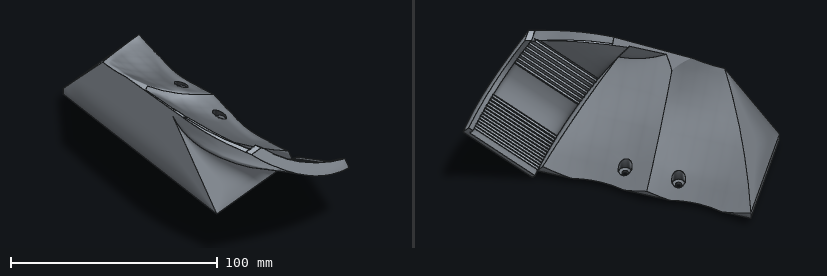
import cadquery as cq
import math


SLOPE = math.atan2(2, 3)
COS_SLOPE = math.cos(SLOPE)
SIN_SLOPE = math.sin(SLOPE)
TAN_SLOPE = math.tan(SLOPE)

MID_X = 52.35
BODY_DEPTH = 50.8
BODY_RIGHT_X = 107.6
TOP_Z = 51.04
CLEAR = 100.0

WALL_LOW_X = 41.7
WALL_LOW_Z = 48.0
WALL_HIGH_X = 83.3
WALL_TOP_FALL = 0.83

WALL_FACE_POINT = (58.0, 1.4, 47.5)
WALL_FACE_NORMAL = (-0.046, 1.0, 0.23)

BOWL_OFFSET_X = 24.6
BOWL_Y = 182.0
BOWL_Z = 191.8
BOWL_OUTER_RADIUS = 233.3
BOWL_TUBE_RADIUS = 89.0

HOLE_OFFSET_X = 13.45
HOLE_Y = 41.8
HOLE_DIAMETER = 3.05
COUNTERBORE_DIAMETER = 6.7
COUNTERBORE_FLOOR_Z = 2.0

ARM_BACK_Y = 53.93
ARM_CORNER_X = 108.93
ARM_CORNER_Z = -2.0
ARM_LENGTH = 42.12
ARM_HEIGHT = 75.0
ARM_OUTER_CURVE = [(ARM_BACK_Y, 0), (35.3, 6.6), (18.0, 21.7), (7.3, 35.8), (2.8, 45.0), (0, 57.9)]
RECESS_CENTER = (72.7, 70.8)
RECESS_RADIUS = 71.0
RECESS_FRONT_Y = 2.5
LIP_THICKNESS = 2.6
LIP_START = ARM_LENGTH - LIP_THICKNESS
LIP_CENTER = (76.2, 75.6)
LIP_RADIUS = 73.8

BACK_STEPS_START_Y = BODY_DEPTH
BACK_STEPS_END_Y = 33.3
BACK_STEP_COUNT = 13
FRONT_STEPS_START_Y = 19.6
FRONT_STEPS_END_Y = 10.1
FRONT_STEP_COUNT = 7

RIM_DROP = 2.5
RIM_END_X = 124.2
RIM_OUTER_MID = (107.6, 2.8)
RIM_OUTER_END_Y = 7.3
RIM_INNER_START_Y = 2.3
RIM_INNER_MID = (104.5, 5.9)
RIM_INNER_END_Y = 12.6


def right_end_x(z):
    """X of the right end plane at height z."""
    return BODY_RIGHT_X - z * TAN_SLOPE


def left_end_x(z):
    """X of the left end plane, the mirror image of the right one."""
    return 2 * MID_X - right_end_x(z)


def block_above(origin, x_dir, normal, x_range):
    """Large block standing on the plane, spanning x_range along its x direction."""
    low, high = x_range
    plane = cq.Plane(origin=origin, xDir=x_dir, normal=normal)
    return cq.Workplane(plane).center((low + high) / 2, 0).rect(high - low, 2 * CLEAR).extrude(CLEAR)


def make_bowl(side):
    """Cutting tool for one bowl, limited to its own side of the ridge."""
    center = cq.Vector(MID_X + side * BOWL_OFFSET_X, BOWL_Y, BOWL_Z)
    ring = cq.Solid.makeTorus(
        BOWL_OUTER_RADIUS - BOWL_TUBE_RADIUS, BOWL_TUBE_RADIUS, center, cq.Vector(1, 0, 0)
    )
    half = cq.Workplane("XY").box(CLEAR, 2 * CLEAR, 2 * CLEAR)
    half = half.translate((MID_X + side * CLEAR / 2, 0, 0))
    return half.intersect(cq.Workplane(ring))


def make_bowls():
    along_wall = (-WALL_FACE_NORMAL[1], WALL_FACE_NORMAL[0], 0)
    behind_wall = block_above(WALL_FACE_POINT, along_wall, WALL_FACE_NORMAL, (-CLEAR, CLEAR))
    return make_bowl(-1).union(make_bowl(1).intersect(behind_wall))


def make_holes():
    centers = [(MID_X + side * HOLE_OFFSET_X, HOLE_Y) for side in (-1, 1)]
    holes = cq.Workplane("XY").pushPoints(centers).circle(HOLE_DIAMETER / 2).extrude(TOP_Z)
    counterbores = (
        cq.Workplane("XY")
        .workplane(offset=COUNTERBORE_FLOOR_Z)
        .pushPoints(centers)
        .circle(COUNTERBORE_DIAMETER / 2)
        .extrude(TOP_Z)
    )
    return holes.union(counterbores)


def make_body():
    toe_height = -left_end_x(0) / TAN_SLOPE
    outline = [
        (0, 0),
        (BODY_RIGHT_X, 0),
        (right_end_x(TOP_Z), TOP_Z),
        (left_end_x(TOP_Z), TOP_Z),
        (0, toe_height),
    ]
    block = cq.Workplane("XZ").polyline(outline).close().extrude(-BODY_DEPTH)
    return block.cut(make_bowls()).cut(make_holes())


def end_plane(distance):
    """Workplane square to the arm, at a distance along it; local axes are Y and height."""
    origin = (ARM_CORNER_X + distance * COS_SLOPE, 0, ARM_CORNER_Z + distance * SIN_SLOPE)
    return cq.Workplane(cq.Plane(origin=origin, xDir=(0, 1, 0), normal=(COS_SLOPE, 0, SIN_SLOPE)))


def recess_height(y):
    """Height of the recess arc at y."""
    return RECESS_CENTER[1] - math.sqrt(RECESS_RADIUS**2 - (RECESS_CENTER[0] - y) ** 2)


def recess_arc(profile, start_y, end_y):
    """Add the smooth stretch of the recess arc between two Y positions."""
    mid_y = (start_y + end_y) / 2
    start = (start_y, recess_height(start_y))
    return profile.lineTo(*start).threePointArc(
        (mid_y, recess_height(mid_y)), (end_y, recess_height(end_y))
    )


def recess_steps(profile, start_y, end_y, count):
    """Add equal steps whose treads straddle the recess arc."""
    tread = (end_y - start_y) / count
    for step in range(count):
        near_y = start_y + step * tread
        height = recess_height(near_y + tread / 2)
        profile = profile.lineTo(near_y, height).lineTo(near_y + tread, height)
    return profile


def make_recess():
    """Hollow of the arm: smooth at the back, middle and front, with a flight of steps between each."""
    profile = end_plane(0).moveTo(ARM_BACK_Y, ARM_HEIGHT)
    profile = recess_arc(profile, ARM_BACK_Y, BACK_STEPS_START_Y)
    profile = recess_steps(profile, BACK_STEPS_START_Y, BACK_STEPS_END_Y, BACK_STEP_COUNT)
    profile = recess_arc(profile, BACK_STEPS_END_Y, FRONT_STEPS_START_Y)
    profile = recess_steps(profile, FRONT_STEPS_START_Y, FRONT_STEPS_END_Y, FRONT_STEP_COUNT)
    profile = recess_arc(profile, FRONT_STEPS_END_Y, RECESS_FRONT_Y)
    return profile.lineTo(RECESS_FRONT_Y, ARM_HEIGHT).close().extrude(LIP_START)


def make_arm():
    bar = (
        end_plane(0)
        .moveTo(*ARM_OUTER_CURVE[0])
        .spline(ARM_OUTER_CURVE[1:], includeCurrent=True)
        .lineTo(0, ARM_HEIGHT)
        .lineTo(ARM_BACK_Y, ARM_HEIGHT)
        .close()
        .extrude(ARM_LENGTH)
    )
    above_top = block_above((MID_X, 0, TOP_Z), (1, 0, 0), (0, 0, 1), (-CLEAR, CLEAR))
    lip_opening = end_plane(0).center(*LIP_CENTER).circle(LIP_RADIUS).extrude(ARM_LENGTH)
    return bar.cut(above_top).cut(make_recess()).cut(lip_opening)


def make_wall_top_cut():
    """Cutting tool for the sloping top of the front wall."""
    run = WALL_HIGH_X - WALL_LOW_X
    climb = TOP_Z - WALL_LOW_Z
    span = (-math.hypot(run, climb), 0)
    return block_above((WALL_HIGH_X, 0, TOP_Z), (run, 0, climb), (-climb, run * WALL_TOP_FALL, run), span)


def make_rim_bevel():
    """Cutting tool whose front is a ruled face from the rim's inner curve up to its outer edge."""
    bevel = (
        cq.Workplane("XY")
        .workplane(offset=TOP_Z - RIM_DROP)
        .moveTo(WALL_HIGH_X, RIM_INNER_START_Y)
        .threePointArc(RIM_INNER_MID, (RIM_END_X, RIM_INNER_END_Y))
        .lineTo(RIM_END_X, ARM_BACK_Y)
        .lineTo(WALL_HIGH_X, ARM_BACK_Y)
        .close()
        .workplane(offset=RIM_DROP)
        .moveTo(WALL_HIGH_X, 0)
        .threePointArc(RIM_OUTER_MID, (RIM_END_X, RIM_OUTER_END_Y))
        .lineTo(RIM_END_X, ARM_BACK_Y)
        .lineTo(WALL_HIGH_X, ARM_BACK_Y)
        .close()
        .loft(ruled=True)
    )
    lip_zone = end_plane(LIP_START).rect(2 * CLEAR, 2 * CLEAR).extrude(CLEAR)
    return bevel.cut(lip_zone)


result = make_body().union(make_arm()).cut(make_wall_top_cut()).cut(make_rim_bevel())